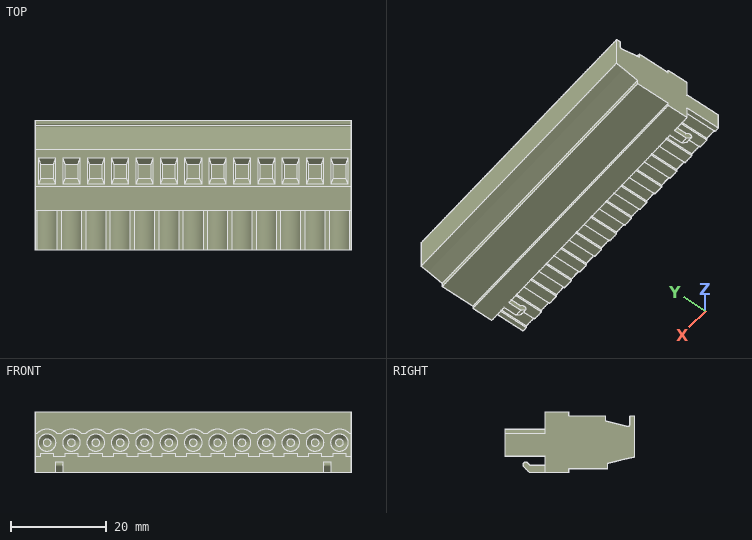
import cadquery as cq
import math

LENGTH = 66.05
STATIONS = 13
PITCH = 5.1
FIRST_STATION = (LENGTH - (STATIONS - 1) * PITCH) / 2
STATION_CENTRES = [FIRST_STATION + i * PITCH for i in range(STATIONS)]

DEPTH = 27.1
HEIGHT = 12.7
COLLAR_FRONT = 8.3
COLLAR_BACK = 13.35
BODY_TOP = 11.9
BODY_BOTTOM = 0.8

UPPER_STEP_Y = 21.0
UPPER_STEP_Z = 10.8
LOWER_STEP_Y = 21.45
LOWER_STEP_Z = 1.9
LOWER_KINK_Y = 25.1
LOWER_KINK_Z = 2.85
BACK_BOTTOM = 3.25
LIP_THICKNESS = 1.05
LIP_FOOT_Z = 9.6
LIP_INNER_ROUND = 0.3
LIP_OUTER_ROUND = 0.2

ENTRY_BOTTOM = 3.45
ENTRY_SIDE_TOP = 8.2
WIRE_AXIS_Z = 6.3
ROOF_RADIUS = 2.85
FUNNEL_MOUTH = 3.6
FUNNEL_END = 1.6
FUNNEL_DEPTH = 2.0
NOTCH_WIDTH = 2.8
NOTCH_HEIGHT = 0.6

WINDOW_FRONT = 13.8
WINDOW_BACK = 19.2
WINDOW_WIDTH = 3.55
WINDOW_FLOOR_FRONT = 15.0
WINDOW_FLOOR_BACK = 17.9
WINDOW_FLOOR_WIDTH = 2.65
WINDOW_DEPTH = 1.3

LATCH_INSET = 4.2
LATCH_WIDTH = 1.6
LATCH_THICKNESS = 1.6
LATCH_NOSE_RADIUS = 0.6
LATCH_NOSE_Y = 4.35
LATCH_NOSE_Z = 1.65


def extrude_along_x(outline, start, length):
    """Extrude a closed YZ outline along +X from x = start."""
    return outline.close().extrude(length).translate((start, 0, 0))


def make_housing():
    lip_inner_y = DEPTH - LIP_THICKNESS
    outline = (
        cq.Workplane("YZ")
        .moveTo(COLLAR_FRONT, 0)
        .lineTo(COLLAR_BACK, 0)
        .lineTo(COLLAR_BACK, BODY_BOTTOM)
        .lineTo(LOWER_STEP_Y, BODY_BOTTOM)
        .lineTo(LOWER_STEP_Y, LOWER_STEP_Z)
        .lineTo(LOWER_KINK_Y, LOWER_KINK_Z)
        .lineTo(DEPTH, BACK_BOTTOM)
        .lineTo(DEPTH, BODY_TOP)
        .lineTo(lip_inner_y, BODY_TOP)
        .lineTo(lip_inner_y, LIP_FOOT_Z)
        .lineTo(UPPER_STEP_Y, UPPER_STEP_Z)
        .lineTo(UPPER_STEP_Y, BODY_TOP)
        .lineTo(COLLAR_BACK, BODY_TOP)
        .lineTo(COLLAR_BACK, HEIGHT)
        .lineTo(COLLAR_FRONT, HEIGHT)
    )
    housing = extrude_along_x(outline, 0, LENGTH)
    middle = LENGTH / 2
    outer_corner = cq.selectors.NearestToPointSelector((middle, DEPTH, BODY_TOP))
    housing = housing.edges(outer_corner).fillet(LIP_OUTER_ROUND)
    for corner_z in (BODY_TOP, LIP_FOOT_Z):
        inner_corner = cq.selectors.NearestToPointSelector((middle, lip_inner_y, corner_z))
        housing = housing.edges(inner_corner).fillet(LIP_INNER_ROUND)
    return housing


def make_wire_entry():
    block_height = ENTRY_SIDE_TOP - ENTRY_BOTTOM
    entry = cq.Workplane("XY").box(LENGTH, COLLAR_FRONT, block_height, centered=False)
    entry = entry.translate((0, 0, ENTRY_BOTTOM))
    for x in STATION_CENTRES:
        roof = cq.Workplane("XZ", origin=(x, 0, WIRE_AXIS_Z)).circle(ROOF_RADIUS)
        entry = entry.union(roof.extrude(-COLLAR_FRONT))
    limits = cq.Workplane("XY").box(LENGTH, COLLAR_FRONT, HEIGHT, centered=False)
    return entry.intersect(limits.translate((0, 0, ENTRY_BOTTOM)))


def make_funnel(x):
    taper = math.degrees(math.atan((FUNNEL_MOUTH - FUNNEL_END) / 2 / FUNNEL_DEPTH))
    mouth = cq.Workplane("XZ", origin=(x, 0, WIRE_AXIS_Z)).circle(FUNNEL_MOUTH / 2)
    return mouth.extrude(-FUNNEL_DEPTH, taper=taper)


def make_notch(x):
    notch = cq.Workplane("XY").box(NOTCH_WIDTH, COLLAR_FRONT, NOTCH_HEIGHT, centered=(True, False, False))
    return notch.translate((x, 0, ENTRY_BOTTOM))


def make_window(x):
    mouth_centre = (WINDOW_FRONT + WINDOW_BACK) / 2
    floor_centre = (WINDOW_FLOOR_FRONT + WINDOW_FLOOR_BACK) / 2
    return (
        cq.Workplane("XY", origin=(x, mouth_centre, BODY_TOP))
        .rect(WINDOW_WIDTH, WINDOW_BACK - WINDOW_FRONT)
        .workplane(offset=-WINDOW_DEPTH)
        .center(0, floor_centre - mouth_centre)
        .rect(WINDOW_FLOOR_WIDTH, WINDOW_FLOOR_BACK - WINDOW_FLOOR_FRONT)
        .loft(ruled=True)
    )


def make_latch(start_x):
    """Straight arm with a raised round nose, bevelled underneath at 45 degrees."""
    diagonal = LATCH_NOSE_RADIUS * math.sqrt(0.5)
    nose_front_y = LATCH_NOSE_Y - diagonal
    nose_back_y = LATCH_NOSE_Y + diagonal
    nose_lower_z = LATCH_NOSE_Z - diagonal
    nose_upper_z = LATCH_NOSE_Z + diagonal
    bevel_start_y = nose_front_y + nose_lower_z
    arm_start_y = nose_back_y + nose_upper_z - LATCH_THICKNESS
    outline = (
        cq.Workplane("YZ")
        .moveTo(COLLAR_FRONT, 0)
        .lineTo(bevel_start_y, 0)
        .lineTo(nose_front_y, nose_lower_z)
        .threePointArc((nose_front_y, nose_upper_z), (nose_back_y, nose_upper_z))
        .lineTo(arm_start_y, LATCH_THICKNESS)
        .lineTo(COLLAR_FRONT, LATCH_THICKNESS)
    )
    return extrude_along_x(outline, start_x, LATCH_WIDTH)


result = make_housing().union(make_wire_entry())
for station_x in STATION_CENTRES:
    result = result.cut(make_funnel(station_x))
    result = result.cut(make_notch(station_x))
    result = result.cut(make_window(station_x))
for latch_x in (LATCH_INSET, LENGTH - LATCH_INSET - LATCH_WIDTH):
    result = result.union(make_latch(latch_x))